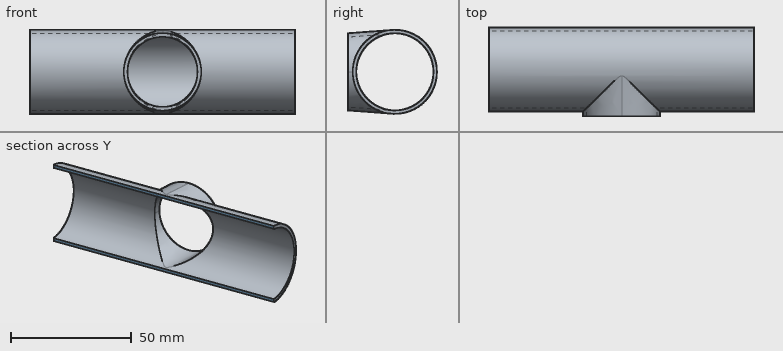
import cadquery as cq

run_length = 110.0
run_diameter = 35.0
wall = 1.5
branch_diameter = 32.1
branch_reach = 19.5

run_radius = run_diameter / 2
branch_radius = branch_diameter / 2


def run_cylinder(radius):
    """Cylinder along X, centred on the origin."""
    return cq.Workplane("YZ").circle(radius).extrude(run_length / 2, both=True)


def branch_taper(mouth_radius, root_half_height):
    """Taper along -Y from an ellipse on the run axis to a round mouth."""
    return (
        cq.Workplane("XZ")
        .ellipse(mouth_radius, root_half_height)
        .workplane(offset=branch_reach)
        .ellipse(mouth_radius, mouth_radius)
        .loft(ruled=True, combine=True)
    )


outer_body = run_cylinder(run_radius).union(branch_taper(branch_radius, run_radius))

run_bore = run_cylinder(run_radius - wall)
branch_bore = branch_taper(branch_radius - wall, run_radius - wall)

result = outer_body.cut(run_bore).cut(branch_bore)